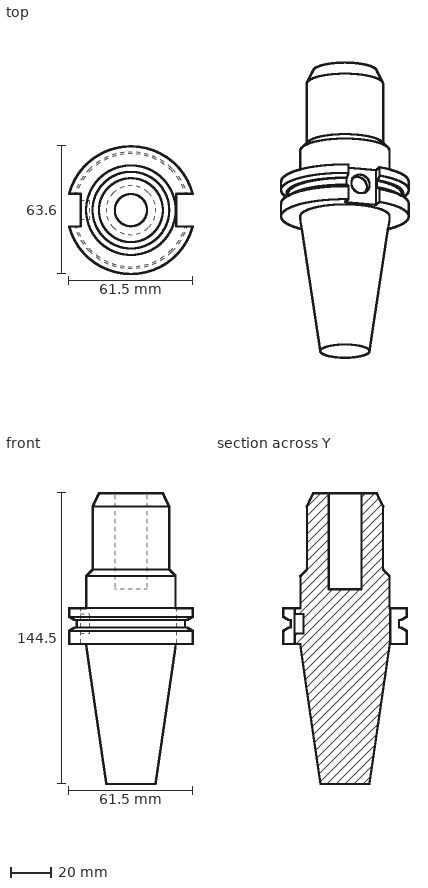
import cadquery as cq

total_height = 144.5
gauge_height = 68.5
gauge_radius = 22.2
taper_ratio = 7 / 24

flange_bottom = 69.5
flange_top = 87.4
flange_radius = 31.8
groove_radius = 28.2
groove_centre = flange_top - 7.8
groove_mouth = 7.0
groove_floor = 3.6
groove_ledge = 0.9

shoulder_top = 106.6
shoulder_chamfer = 3.2
nose_radius = gauge_radius - shoulder_chamfer
nose_chamfer_width = 3.2
nose_chamfer_height = 6.6

bore_diameter = 16.0
bore_depth = 47.7

slot_width = 16.2
left_slot_floor = 25.0
right_slot_floor = 22.5
dimple_diameter = 9.5
dimple_depth = 4.3


def make_body():
    """Revolve the half profile of taper, grooved flange, shoulder and nose."""
    small_end_radius = gauge_radius - gauge_height * taper_ratio / 2
    profile = [
        (0, 0),
        (small_end_radius, 0),
        (gauge_radius, gauge_height),
        (gauge_radius, flange_bottom),
        (flange_radius, flange_bottom),
        (flange_radius, groove_centre - groove_mouth / 2),
        (groove_radius + groove_ledge, groove_centre - groove_floor / 2),
        (groove_radius, groove_centre - groove_floor / 2),
        (groove_radius, groove_centre + groove_floor / 2),
        (groove_radius + groove_ledge, groove_centre + groove_floor / 2),
        (flange_radius, groove_centre + groove_mouth / 2),
        (flange_radius, flange_top),
        (gauge_radius, flange_top),
        (gauge_radius, shoulder_top - shoulder_chamfer),
        (nose_radius, shoulder_top),
        (nose_radius, total_height - nose_chamfer_height),
        (nose_radius - nose_chamfer_width, total_height),
        (0, total_height),
    ]
    return cq.Workplane("XZ").polyline(profile).close().revolve(360, (0, 0), (0, 1))


def make_bore():
    """Blind tool bore in the nose end."""
    bore_bottom = total_height - bore_depth
    return cq.Workplane("XY").workplane(offset=bore_bottom).circle(bore_diameter / 2).extrude(bore_depth)


def make_drive_slot(side, floor_distance):
    """Cutter for a flange slot; side is -1 for -X and +1 for +X."""
    slot_depth = flange_radius - floor_distance
    slot_centre = side * (floor_distance + slot_depth / 2)
    return (
        cq.Workplane("XY", origin=(slot_centre, 0, flange_bottom))
        .rect(slot_depth, slot_width)
        .extrude(flange_top - flange_bottom)
    )


def make_dimple():
    """Blind round hole in the floor of the -X slot, level with the groove."""
    return (
        cq.Workplane("YZ", origin=(-left_slot_floor, 0, groove_centre))
        .circle(dimple_diameter / 2)
        .extrude(dimple_depth)
    )


result = (
    make_body()
    .cut(make_bore())
    .cut(make_drive_slot(-1, left_slot_floor))
    .cut(make_drive_slot(1, right_slot_floor))
    .cut(make_dimple())
)